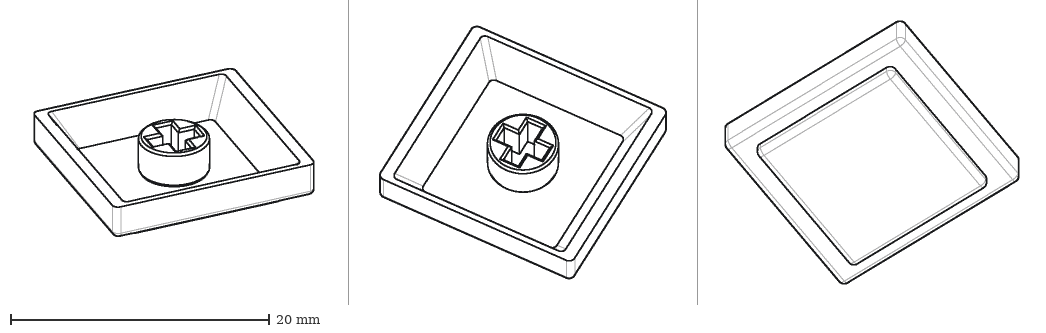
import cadquery as cq
import math

BODY_X = 16.0
BODY_Y = 17.0
TOTAL_HEIGHT = 4.0
EDGE_RADIUS = 0.5

PAD_SIDE = 13.0
PAD_HEIGHT = 1.0

STEM_RISE = 0.15
RIM_Z = TOTAL_HEIGHT - STEM_RISE
POCKET_SIDE = 15.0
POCKET_FLOOR_Z = PAD_HEIGHT
POCKET_DEPTH = RIM_Z - POCKET_FLOOR_Z
WALL_ANGLE = 30.0
POCKET_CORNER_RADIUS = 0.5

STEM_DIAMETER = 5.5
STEM_CHAMFER = 0.2
STEM_FOOT_HEIGHT = 0.2
STEM_FOOT_INSET = 0.12
CROSS_LENGTH = 4.0
CROSS_WIDTH = 1.31
CROSS_CHAMFER = 0.2
CROSS_DEPTH = TOTAL_HEIGHT - POCKET_FLOOR_Z


def rounded_block(size_x, size_y, bottom_z, top_z):
    """Block with rounded upright corners and a rounded bottom edge."""
    return (
        cq.Workplane("XY", origin=(0, 0, bottom_z))
        .rect(size_x, size_y)
        .extrude(top_z - bottom_z)
        .edges("|Z or <Z")
        .fillet(EDGE_RADIUS)
    )


def tapered_pocket():
    """Square cavity that narrows towards its floor, with rounded corners."""
    floor_side = POCKET_SIDE - 2 * POCKET_DEPTH * math.tan(math.radians(WALL_ANGLE))
    return (
        cq.Workplane("XY", origin=(0, 0, POCKET_FLOOR_Z))
        .rect(floor_side, floor_side)
        .workplane(offset=POCKET_DEPTH)
        .rect(POCKET_SIDE, POCKET_SIDE)
        .loft(ruled=True)
        .edges("not(#Z)")
        .fillet(POCKET_CORNER_RADIUS)
    )


def stem():
    """Round post with a chamfered top and a foot that narrows to the floor."""
    radius = STEM_DIAMETER / 2
    return (
        cq.Workplane("XZ")
        .moveTo(0, POCKET_FLOOR_Z)
        .lineTo(radius - STEM_FOOT_INSET, POCKET_FLOOR_Z)
        .lineTo(radius, POCKET_FLOOR_Z + STEM_FOOT_HEIGHT)
        .lineTo(radius, TOTAL_HEIGHT - STEM_CHAMFER)
        .lineTo(radius - STEM_CHAMFER, TOTAL_HEIGHT)
        .lineTo(0, TOTAL_HEIGHT)
        .close()
        .revolve(360, (0, 0), (0, 1))
    )


def cross_socket():
    """Cross-shaped cavity that flares outwards at its mouth."""
    top = cq.Workplane("XY", origin=(0, 0, TOTAL_HEIGHT))
    bar_x = top.rect(CROSS_LENGTH, CROSS_WIDTH).extrude(-CROSS_DEPTH)
    bar_y = top.rect(CROSS_WIDTH, CROSS_LENGTH).extrude(-CROSS_DEPTH)
    cross = bar_x.union(bar_y)
    throat = cq.Workplane("XY", origin=(0, 0, TOTAL_HEIGHT - CROSS_CHAMFER))
    for size_x, size_y in ((CROSS_LENGTH, CROSS_WIDTH), (CROSS_WIDTH, CROSS_LENGTH)):
        flare = throat.rect(size_x, size_y).workplane(offset=CROSS_CHAMFER)
        flare = flare.rect(size_x + 2 * CROSS_CHAMFER, size_y + 2 * CROSS_CHAMFER)
        cross = cross.union(flare.loft(ruled=True))
    return cross


pad = rounded_block(PAD_SIDE, PAD_SIDE, 0, PAD_HEIGHT)
body = rounded_block(BODY_X, BODY_Y, PAD_HEIGHT, RIM_Z)
result = body.union(pad).cut(tapered_pocket()).union(stem()).cut(cross_socket())